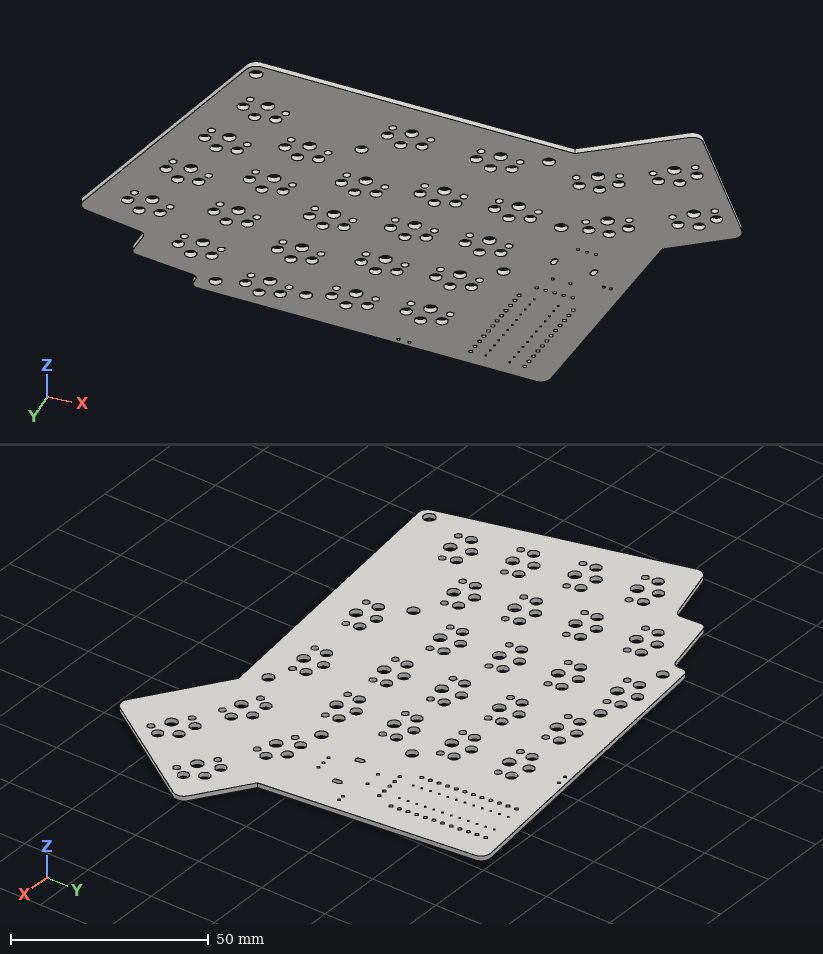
import cadquery as cq
import math


THICKNESS = 1.5

CORNER_RADIUS = 2.9
STEP_RADIUS = 2.0
OUTLINE = [
    (-61.5, -50.7, CORNER_RADIUS),
    (28.8, -41.1, 0),
    (56.0, -59.4, CORNER_RADIUS),
    (82.0, -20.5, CORNER_RADIUS),
    (64.3, -8.4, 0),
    (57.3, 58.5, CORNER_RADIUS),
    (-42.2, 47.9, STEP_RADIUS),
    (-42.1, 43.2, STEP_RADIUS),
    (-61.7, 39.0, STEP_RADIUS),
    (-61.0, 29.8, STEP_RADIUS),
    (-81.5, 24.3, CORNER_RADIUS),
]

SWITCH_CENTRE_DIAMETER = 3.4
SWITCH_PEG_DIAMETER = 2.0
SWITCH_PIN_DIAMETER = 3.0
PEG_OFFSET = 5.5
SIDE_PIN_X = 5.0
SIDE_PIN_Y = 3.7
TOP_PIN_Y = 5.8

KEY_PITCH = 17.0
BOARD_TILT = 6
KEY_COLUMNS = [
    (-64.5, 14.9, 15, 15, 4),
    (-46.0, 28.6, 12, 12, 4),
    (-24.1, 39.0, 9, 8.4, 4),
    (-1.8, 36.7, BOARD_TILT, BOARD_TILT, 4),
    (18.3, 36.7, BOARD_TILT, BOARD_TILT, 4),
]
SINGLE_KEYS = [
    (-13.0, -35.3, 9),
    (11.7, -33.3, BOARD_TILT),
    (37.9, -33.3, -24),
    (47.0, -15.5, -24),
    (55.0, -42.5, -34),
    (66.4, -25.9, -34),
]

SCREW_DIAMETER = 3.2
WIDE_SCREW_DIAMETER = 3.4
SCREWS = [
    (-59.0, -46.8, WIDE_SCREW_DIAMETER),
    (-37.0, 43.7, SCREW_DIAMETER),
    (-22.5, -24.3, SCREW_DIAMETER),
    (-13.5, 41.8, SCREW_DIAMETER),
    (24.0, -35.3, SCREW_DIAMETER),
    (30.0, 14.7, SCREW_DIAMETER),
    (36.9, -8.7, WIDE_SCREW_DIAMETER),
]

CONTROLLER_CENTRE = (43.4, 38.0)
PIN_DIAMETER = 1.0
PINS_PER_ROW = 12
PIN_ROW_LENGTH = 28.0
PIN_PITCH = PIN_ROW_LENGTH / (PINS_PER_ROW - 1)
PIN_ROW_X = 7.6
VIA_DIAMETER = 0.4
VIA_ROW_X = 3.4
HEADER_PINS = 5
HEADER_Y = -19.0
HEADER_DIAMETER = 0.9

ENCODER_X = -0.6
ENCODER_Y = -31.4
ENCODER_PIN_DIAMETER = 0.75
ENCODER_PIN_SPAN = 5.0
SWITCH_PINS_RISE = 7.1
SIGNAL_PINS_DROP = 7.5
SLOT_SPACING = 11.2
SLOT_LENGTH = 2.6
SLOT_WIDTH = 1.5

RESET_CENTRE = (11.0, -26.7)
RESET_SPACING = 2.0
RESET_DIAMETER = 0.75
BATTERY_CENTRE = (-25.0, 17.0)
BATTERY_SPACING = 3.0
BATTERY_DIAMETER = 0.75


def place(points, origin, tilt):
    """Turn local points by tilt degrees and move them to origin."""
    cosine = math.cos(math.radians(tilt))
    sine = math.sin(math.radians(tilt))
    return [
        (origin[0] + x * cosine - y * sine, origin[1] + x * sine + y * cosine)
        for x, y in points
    ]


def on_board(points):
    """Place points given in the controller's frame."""
    return place(points, CONTROLLER_CENTRE, BOARD_TILT)


def spread(count, pitch):
    """Positions of count items at equal pitch, centred on zero."""
    return [(i - (count - 1) / 2) * pitch for i in range(count)]


def row(count, pitch, centre):
    """A row of points along the local x direction."""
    return [(centre[0] + x, centre[1]) for x in spread(count, pitch)]


def drills(points, diameter):
    """Cylinders through the plate."""
    return cq.Workplane("XY").pushPoints(points).circle(diameter / 2).extrude(THICKNESS)


def make_plate():
    plate = cq.Workplane("XY").polyline([(x, y) for x, y, _ in OUTLINE]).close().extrude(THICKNESS)
    for x, y, radius in OUTLINE:
        if radius > 0:
            corner = cq.NearestToPointSelector((x, y, THICKNESS / 2))
            plate = plate.edges(corner).fillet(radius)
    return plate


def key_positions():
    keys = list(SINGLE_KEYS)
    for x, y, tilt, lean, count in KEY_COLUMNS:
        column = [(0, -i * KEY_PITCH) for i in range(count)]
        keys += [(key_x, key_y, tilt) for key_x, key_y in place(column, (x, y), lean)]
    return keys


def cut_switches(plate):
    pegs = [(-PEG_OFFSET, 0), (PEG_OFFSET, 0)]
    pins = [(-SIDE_PIN_X, SIDE_PIN_Y), (0, TOP_PIN_Y), (SIDE_PIN_X, SIDE_PIN_Y)]
    footprint = [
        ([(0, 0)], SWITCH_CENTRE_DIAMETER),
        (pegs, SWITCH_PEG_DIAMETER),
        (pins, SWITCH_PIN_DIAMETER),
    ]
    for local_points, diameter in footprint:
        points = []
        for x, y, tilt in key_positions():
            points += place(local_points, (x, y), tilt)
        plate = plate.cut(drills(points, diameter))
    return plate


def cut_screws(plate):
    for x, y, diameter in SCREWS:
        plate = plate.cut(drills([(x, y)], diameter))
    return plate


def cut_controller(plate):
    rows = spread(PINS_PER_ROW, PIN_PITCH)
    pins = [(side * PIN_ROW_X, y) for side in (-1, 1) for y in rows]
    vias = [(side * VIA_ROW_X, y) for side in (-1, 1) for y in rows]
    header = row(HEADER_PINS, PIN_PITCH, (0, HEADER_Y))
    plate = plate.cut(drills(on_board(pins), PIN_DIAMETER))
    plate = plate.cut(drills(on_board(header), HEADER_DIAMETER))
    return plate.cut(drills(on_board(vias), VIA_DIAMETER))


def cut_encoder(plate):
    switch_pins = row(2, ENCODER_PIN_SPAN, (ENCODER_X, ENCODER_Y + SWITCH_PINS_RISE))
    signal_pins = row(3, ENCODER_PIN_SPAN / 2, (ENCODER_X, ENCODER_Y - SIGNAL_PINS_DROP))
    slots = (
        cq.Workplane("XY")
        .pushPoints(on_board(row(2, SLOT_SPACING, (ENCODER_X, ENCODER_Y))))
        .slot2D(SLOT_LENGTH, SLOT_WIDTH, 90 + BOARD_TILT)
        .extrude(THICKNESS)
    )
    return plate.cut(drills(on_board(switch_pins + signal_pins), ENCODER_PIN_DIAMETER)).cut(slots)


def cut_pin_pairs(plate):
    reset = on_board(row(2, RESET_SPACING, RESET_CENTRE))
    battery = on_board(row(2, BATTERY_SPACING, BATTERY_CENTRE))
    return plate.cut(drills(reset, RESET_DIAMETER)).cut(drills(battery, BATTERY_DIAMETER))


result = make_plate()
result = cut_switches(result)
result = cut_screws(result)
result = cut_controller(result)
result = cut_encoder(result)
result = cut_pin_pairs(result)